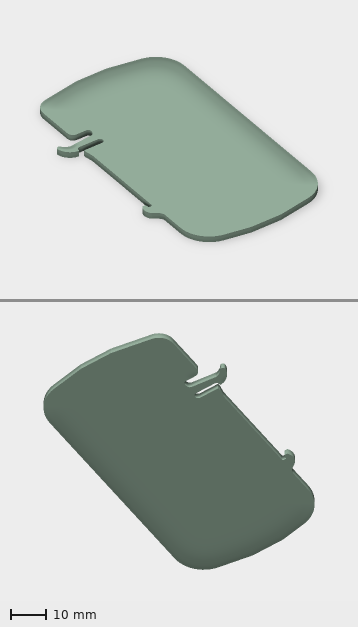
import cadquery as cq
import math

length = 85.4
height = 45.8
thickness = 2.0
side_flat_bottom = 16.6
side_flat_top = 26.9
side_taper = math.radians(10)
corner_radius = 10.0
small_corner_radius = 4.95

notch_left = -21.95
notch_left_top = 6.4
notch_right = -19.3
notch_right_top = 5.8
notch_left_radius = 1.0
notch_right_radius = 1.1
notch_mouth_radius = 2.0

slot_left = -16.6
slot_right = -14.5
slot_top = 6.4

leaf_foot = (-18.4, -2.8)
toe_curve_mid = (-18.9, -4.2)
toe_upper = (-19.9, -5.3)
toe_tip = (-20.2, -6.1)
toe_bottom = (-19.5, -6.7)
heel_curve_mid = (-16.4, -5.0)
barb_tip = (-15.2, -2.05)
barb_root = (-16.0, -2.0)
barb_curve_mid = (-16.4, -1.5)
barb_curve_top = -0.8

sill_corner_y = -0.85
sill_flat_end = -13.75
sill_ramp_end = -11.2
seat_y = -0.3

catch_throat_x = 18.2
catch_throat_radius = 0.4
catch_throat_bottom = -1.6
catch_lip_start = 17.5
catch_nose_x = 16.8
catch_nose_top = -1.9
catch_nose_bottom = -2.9
catch_belly_mid = (19.1, -3.5)
catch_belly_end = (21.0, -2.6)
catch_neck = (22.1, -1.0)
catch_neck_curve_mid = (22.8, -0.3)
catch_end_x = 23.8

half_length = length / 2
top_inset = (height - side_flat_top) * math.tan(side_taper)
bottom_inset = side_flat_bottom * math.tan(side_taper)
slot_radius = (slot_right - slot_left) / 2
slot_middle = (slot_left + slot_right) / 2
throat_arc_offset = catch_throat_radius * (1 - math.sqrt(0.5))


def add_latch(path):
    """Trace the notch, latch and slot from left to right."""
    return (
        path.lineTo(notch_left, 0)
        .lineTo(notch_left, notch_left_top)
        .lineTo(notch_right, notch_right_top)
        .lineTo(*leaf_foot)
        .threePointArc(toe_curve_mid, toe_upper)
        .threePointArc(toe_tip, toe_bottom)
        .threePointArc(heel_curve_mid, barb_tip)
        .lineTo(*barb_root)
        .threePointArc(barb_curve_mid, (slot_left, barb_curve_top))
        .lineTo(slot_left, slot_top - slot_radius)
        .threePointArc((slot_middle, slot_top), (slot_right, slot_top - slot_radius))
        .lineTo(slot_right, sill_corner_y)
    )


def add_catch(path):
    """Trace the seat edge and the fixed catch from left to right."""
    return (
        path.lineTo(sill_flat_end, sill_corner_y)
        .lineTo(sill_ramp_end, seat_y)
        .lineTo(catch_throat_x - catch_throat_radius, seat_y)
        .threePointArc(
            (catch_throat_x - throat_arc_offset, seat_y - throat_arc_offset),
            (catch_throat_x, seat_y - catch_throat_radius),
        )
        .lineTo(catch_throat_x, catch_throat_bottom)
        .lineTo(catch_lip_start, catch_throat_bottom)
        .lineTo(catch_nose_x, catch_nose_top)
        .lineTo(catch_nose_x, catch_nose_bottom)
        .threePointArc(catch_belly_mid, catch_belly_end)
        .lineTo(*catch_neck)
        .threePointArc(catch_neck_curve_mid, (catch_end_x, 0))
    )


def round_corner(body, x, y, radius):
    """Round the upright edge standing at (x, y)."""
    edge = cq.selectors.NearestToPointSelector((x, y, thickness / 2))
    return body.edges("|Z").edges(edge).fillet(radius)


outline = cq.Workplane("XY").moveTo(-half_length + bottom_inset, 0)
outline = add_latch(outline)
outline = add_catch(outline)
outline = (
    outline.lineTo(half_length - bottom_inset, 0)
    .lineTo(half_length, side_flat_bottom)
    .lineTo(half_length, side_flat_top)
    .lineTo(half_length - top_inset, height)
    .lineTo(-half_length + top_inset, height)
    .lineTo(-half_length, side_flat_top)
    .lineTo(-half_length, side_flat_bottom)
    .close()
)
result = outline.extrude(thickness)

rounded_corners = [
    (-half_length + bottom_inset, 0, small_corner_radius),
    (half_length - bottom_inset, 0, corner_radius),
    (half_length - top_inset, height, corner_radius),
    (-half_length + top_inset, height, corner_radius),
    (notch_left, 0, notch_mouth_radius),
    (notch_left, notch_left_top, notch_left_radius),
    (notch_right, notch_right_top, notch_right_radius),
]
for corner_x, corner_y, radius in rounded_corners:
    result = round_corner(result, corner_x, corner_y, radius)